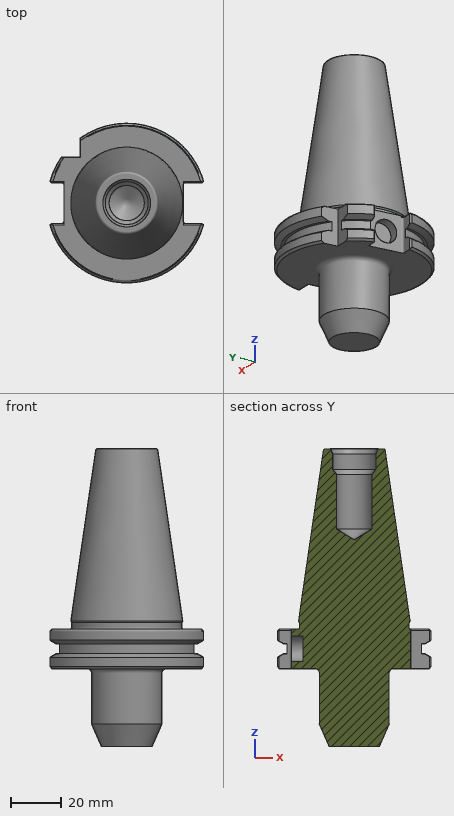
import cadquery as cq
import math


total_length = 118.4
taper_length = 68.4
nose_end = taper_length - total_length

gauge_radius = 22.3
taper_ratio = 7 / 24
shank_end_radius = gauge_radius - taper_length * taper_ratio / 2
shank_end_fillet = 1.0

neck_radius = 21.9
neck_relief = 0.7
neck_fillet = 0.5

flange_radius = 31.7
flange_top = -3.2
flange_thickness = 15.9
flange_bottom = flange_top - flange_thickness
flange_middle = (flange_top + flange_bottom) / 2
flange_chamfer = 1.0
flange_chamfer_blend = 0.5
groove_floor_radius = 28.0
groove_floor_width = 3.9
groove_mouth_width = 6.9
groove_flank_angle = math.radians(30)
groove_flank_drop = (groove_mouth_width - groove_floor_width) / 2
groove_shelf_radius = flange_radius - groove_flank_drop / math.tan(groove_flank_angle)

nose_radius = 14.0
nose_tip_radius = 10.1
nose_taper_length = 8.9
nose_root_fillet = 1.8

slot_width = 16.1
slot_floor_left = -25.0
slot_floor_right = 22.5
slot_root_fillet = 0.8
slot_top_chamfer = 0.6
slot_lip_chamfer = 0.8

notch_x = -18.5
notch_y = 18.2

chip_hole_radius = 5.0
chip_hole_depth = 4.6

bore_mouth_radius = 9.5
bore_mouth_depth = 2.1
counterbore_radius = 8.5
counterbore_depth = 8.3
drill_radius = 7.0
drill_lead_in = 2.0
drill_depth = 32.0
drill_point_angle = math.radians(118)


def make_body():
    """Shank, neck, flange and nose turned as one profile."""
    groove_mouth = groove_mouth_width / 2
    groove_floor = groove_floor_width / 2
    profile = [
        (0, taper_length),
        (shank_end_radius, taper_length),
        (gauge_radius, 0),
        (neck_radius, -neck_relief),
        (neck_radius, flange_top),
        (flange_radius - flange_chamfer, flange_top),
        (flange_radius, flange_top - flange_chamfer),
        (flange_radius, flange_middle + groove_mouth),
        (groove_shelf_radius, flange_middle + groove_floor),
        (groove_floor_radius, flange_middle + groove_floor),
        (groove_floor_radius, flange_middle - groove_floor),
        (groove_shelf_radius, flange_middle - groove_floor),
        (flange_radius, flange_middle - groove_mouth),
        (flange_radius, flange_bottom + flange_chamfer),
        (flange_radius - flange_chamfer, flange_bottom),
        (nose_radius, flange_bottom),
        (nose_radius, nose_end + nose_taper_length),
        (nose_tip_radius, nose_end),
        (0, nose_end),
    ]
    body = cq.Workplane("XZ").polyline(profile).close().revolve(360, (0, 0, 0), (0, 1, 0))
    body = round_circle(body, shank_end_radius, taper_length, shank_end_fillet)
    body = round_circle(body, neck_radius, flange_top, neck_fillet)
    body = round_circle(body, flange_radius - flange_chamfer, flange_top, flange_chamfer_blend)
    body = round_circle(body, flange_radius, flange_top - flange_chamfer, flange_chamfer_blend)
    return round_circle(body, nose_radius, flange_bottom, nose_root_fillet)


def round_circle(body, radius, height, fillet_radius):
    """Fillet the circular edge of the given radius lying at the given height."""
    margin = 0.01
    circle = body.edges("%CIRCLE").filter(
        lambda edge: abs(edge.radius() - radius) < margin and abs(edge.Center().z - height) < margin
    )
    return circle.fillet(fillet_radius)


def flange_block(x_start, x_end, y_start, y_end):
    """Box through the full flange thickness between the given X and Y limits."""
    corner = (x_start, y_start, flange_bottom)
    return cq.Workplane("XY", origin=corner).box(
        x_end - x_start, y_end - y_start, flange_thickness, centered=False
    )


def make_slot(floor_x):
    """Cutter for a drive slot: rounded root corners, flared at the flange top and outer lips."""
    side = math.copysign(1, floor_x)
    half_width = slot_width / 2
    x_start, x_end = sorted((floor_x, side * flange_radius))
    slot = flange_block(x_start, x_end, -half_width, half_width)
    root = "<X" if side > 0 else ">X"
    slot = slot.faces(root).edges("|Z").fillet(slot_root_fillet)

    top_flare = [
        (-half_width, flange_top - slot_top_chamfer),
        (half_width, flange_top - slot_top_chamfer),
        (half_width + slot_top_chamfer, flange_top),
        (-half_width - slot_top_chamfer, flange_top),
    ]
    top_cutter = (
        cq.Workplane("YZ", origin=(x_start, 0, 0)).polyline(top_flare).close().extrude(x_end - x_start)
    )

    lip_x = math.sqrt(flange_radius**2 - half_width**2)
    flare_reach = 2 * slot_lip_chamfer
    inner_x = side * (lip_x - slot_lip_chamfer)
    outer_x = inner_x + side * flare_reach
    lip_flare = [
        (inner_x, -half_width),
        (outer_x, -half_width - flare_reach),
        (outer_x, half_width + flare_reach),
        (inner_x, half_width),
    ]
    lip_cutter = (
        cq.Workplane("XY", origin=(0, 0, flange_bottom)).polyline(lip_flare).close().extrude(flange_thickness)
    )
    return slot.union(top_cutter).union(lip_cutter)


def make_bore():
    """Cutter for the stepped drawbar bore with its conical drill point."""
    drill_tip = drill_depth + drill_radius / math.tan(drill_point_angle / 2)
    steps = [
        (0, 0),
        (bore_mouth_radius, 0),
        (counterbore_radius, bore_mouth_depth),
        (counterbore_radius, counterbore_depth),
        (drill_radius, counterbore_depth + drill_lead_in),
        (drill_radius, drill_depth),
        (0, drill_tip),
    ]
    profile = [(radius, taper_length - depth) for radius, depth in steps]
    return cq.Workplane("XZ").polyline(profile).close().revolve(360, (0, 0, 0), (0, 1, 0))


def make_chip_hole():
    """Cutter for the blind round hole sunk into the -X slot floor."""
    return (
        cq.Workplane("YZ", origin=(slot_floor_left, 0, flange_middle))
        .circle(chip_hole_radius)
        .extrude(chip_hole_depth)
    )


result = make_body()
for floor_x in (slot_floor_left, slot_floor_right):
    result = result.cut(make_slot(floor_x))
result = result.cut(flange_block(-flange_radius, notch_x, notch_y, flange_radius))
result = result.cut(make_chip_hole())
result = result.cut(make_bore())